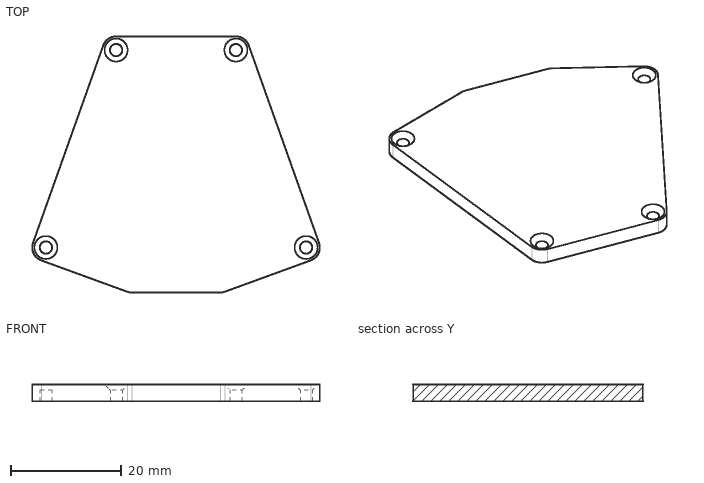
import cadquery as cq

width = 52.3
length = 46.6
thickness = 3.1

corner_radius = 2.5
back_hole_x = 10.9
side_hole_x = width / 2 - corner_radius
hole_row_spacing = 35.9
front_corner_x = 8.0

hole_diameter = 2.2
sink_diameter = 4.2
sink_angle = 90

back_y = length / 2 - corner_radius
side_y = back_y - hole_row_spacing
front_y = -length / 2 + corner_radius

corner_centres = [
    (-back_hole_x, back_y),
    (back_hole_x, back_y),
    (side_hole_x, side_y),
    (front_corner_x, front_y),
    (-front_corner_x, front_y),
    (-side_hole_x, side_y),
]
plate = (
    cq.Workplane("XY")
    .polyline(corner_centres)
    .close()
    .offset2D(corner_radius, "arc")
    .extrude(thickness)
)

hole_centres = [
    (side * x, y)
    for x, y in ((back_hole_x, back_y), (side_hole_x, side_y))
    for side in (-1, 1)
]
result = (
    plate.faces(">Z")
    .workplane(origin=(0, 0, thickness))
    .pushPoints(hole_centres)
    .cskHole(hole_diameter, sink_diameter, sink_angle)
)